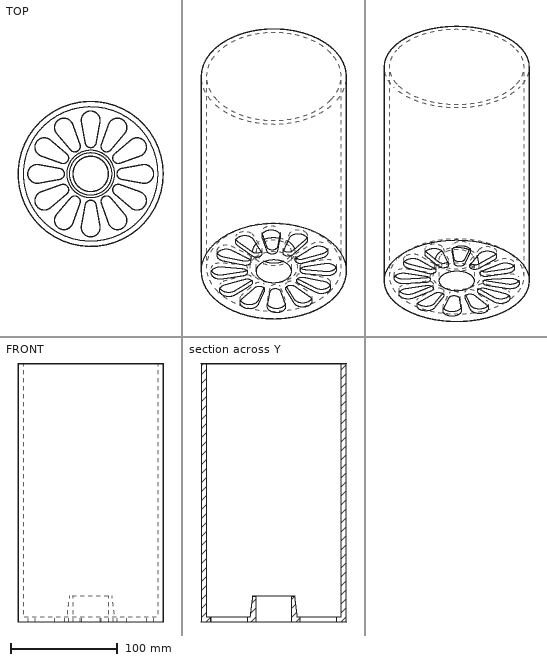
import cadquery as cq
import math

height = 242.0
outer_radius = 68.0
wall = 5.0
floor_thickness = 5.0

bore_radius = 16.5
hub_base_radius = 22.3
hub_top_radius = 19.8
hub_height = 19.4

window_count = 12
window_inner_reach = 24.7
window_outer_reach = 58.8
window_inner_radius = 5.0
window_outer_radius = 8.7


def make_tube():
    tube = cq.Workplane("XY").circle(outer_radius).extrude(height)
    cavity = (
        cq.Workplane("XY")
        .workplane(offset=floor_thickness)
        .circle(outer_radius - wall)
        .extrude(height - floor_thickness)
    )
    return tube.cut(cavity)


def make_hub():
    hub_top = floor_thickness + hub_height
    return (
        cq.Workplane("XZ")
        .moveTo(0, 0)
        .lineTo(hub_base_radius, 0)
        .lineTo(hub_base_radius, floor_thickness)
        .lineTo(hub_top_radius, hub_top)
        .lineTo(0, hub_top)
        .close()
        .revolve(360, (0, 0, 0), (0, 1, 0))
    )


def make_window():
    inner_center = window_inner_reach + window_inner_radius
    outer_center = window_outer_reach - window_outer_radius
    taper_sine = (window_outer_radius - window_inner_radius) / (outer_center - inner_center)
    taper_cosine = math.sqrt(1 - taper_sine**2)

    inner_x = inner_center - window_inner_radius * taper_sine
    inner_y = window_inner_radius * taper_cosine
    outer_x = outer_center - window_outer_radius * taper_sine
    outer_y = window_outer_radius * taper_cosine
    return (
        cq.Workplane("XY")
        .moveTo(inner_x, -inner_y)
        .lineTo(outer_x, -outer_y)
        .threePointArc((window_outer_reach, 0), (outer_x, outer_y))
        .lineTo(inner_x, inner_y)
        .threePointArc((window_inner_reach, 0), (inner_x, -inner_y))
        .close()
        .extrude(floor_thickness)
    )


result = make_tube().union(make_hub())

bore = cq.Workplane("XY").circle(bore_radius).extrude(height)
result = result.cut(bore)

window = make_window()
for index in range(window_count):
    angle = index * 360 / window_count
    result = result.cut(window.rotate((0, 0, 0), (0, 0, 1), angle))